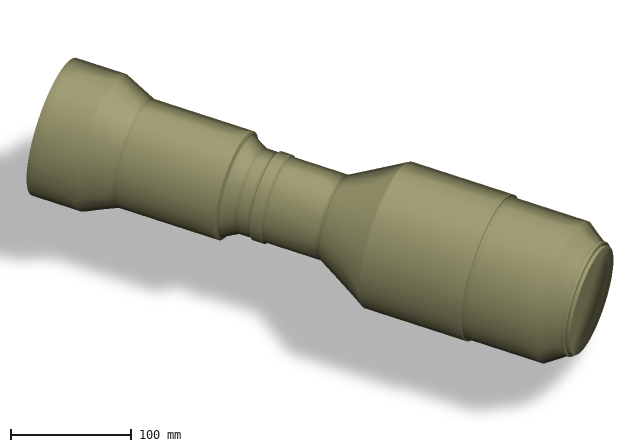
import cadquery as cq

LENGTH = 482.5

head_diameter = 120.0
grip_diameter = 95.0
neck_diameter = 75.0
ring_diameter = 77.5
body_diameter = 128.0
sleeve_diameter = 124.0
rim_diameter = 100.5
tip_diameter = 95.0

head_end = 44.5
grip_start = 73.5
grip_end = 165.0
neck_start = 178.0
ring_start = 190.0
ring_end = 202.5
neck_end = 252.5
body_start = 300.0
body_end = 392.0
sleeve_start = 394.5
sleeve_end = 459.0
rim_start = 476.0
rim_end = 479.0

grip_chamfer_length = 1.5
grip_chamfer_diameter = 88.5
ring_chamfer_length = (ring_diameter - neck_diameter) / 2
body_step_diameter = 125.0

outline = [
    (0, head_diameter),
    (head_end, head_diameter),
    (grip_start, grip_diameter),
    (grip_end - grip_chamfer_length, grip_diameter),
    (grip_end, grip_chamfer_diameter),
    (neck_start, neck_diameter),
    (ring_start, neck_diameter),
    (ring_start + ring_chamfer_length, ring_diameter),
    (ring_end - ring_chamfer_length, ring_diameter),
    (ring_end, neck_diameter),
    (neck_end, neck_diameter),
    (body_start, body_diameter),
    (body_end, body_diameter),
    (body_end, body_step_diameter),
    (sleeve_start, sleeve_diameter),
    (sleeve_end, sleeve_diameter),
    (rim_start, rim_diameter),
    (rim_end, rim_diameter),
    (rim_end, tip_diameter),
    (LENGTH, tip_diameter),
]

surface_points = [(x, diameter / 2) for x, diameter in outline]
half_section = cq.Workplane("XZ").polyline([(0, 0), *surface_points, (LENGTH, 0)]).close()
result = half_section.revolve(360, (0, 0, 0), (1, 0, 0))